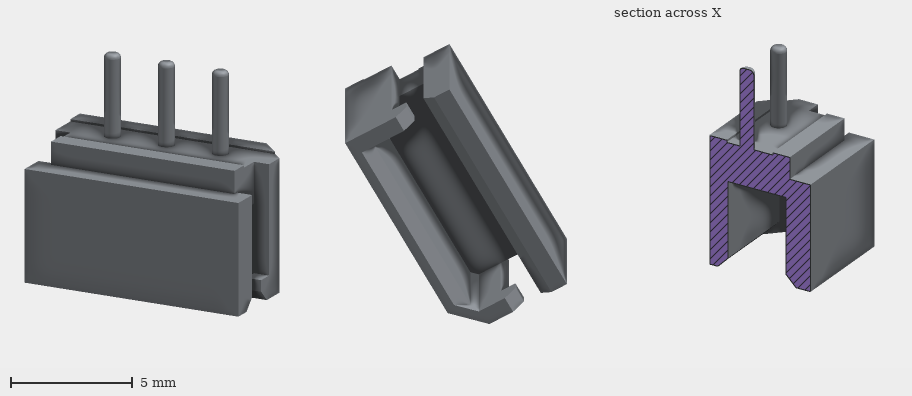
import cadquery as cq

LENGTH = 9.9
DEPTH = 4.9
HOUSING_HEIGHT = 5.9

FRONT_WALL_THICKNESS = 1.225
FRONT_WALL_HEIGHT = 4.9
STEP_DEPTH = 1.0

RAIL_WIDTH = 0.85
GROOVE_DEPTH = 0.1

CAVITY_HEIGHT = 4.0
END_WALL_THICKNESS = 0.7
REAR_WALL_THICKNESS = 0.9
MOUTH_BEVEL = 0.5

SLOT_REAR_Y = 2.725
LIP_LENGTH = 0.7
LIP_HEIGHT = 1.0

CORNER_BEVEL = 1.26
CAVITY_CORNER_BEVEL = 0.25

PIN_COUNT = 3
PIN_PITCH = 2.5
PIN_DIAMETER = 0.7
PIN_TOP_Z = 9.4
PIN_Y = 3.1
PIN_TIP_RADIUS = 0.2


def make_block():
    """Plain housing block with its rear +X corner bevelled."""
    block = cq.Workplane("XY").box(LENGTH, DEPTH, HOUSING_HEIGHT, centered=False)
    return block.edges("|Z and >X and >Y").chamfer(CORNER_BEVEL)


def make_step():
    """Space above the front wall, along the full length."""
    step_height = HOUSING_HEIGHT - FRONT_WALL_HEIGHT
    step = cq.Workplane("XY").box(LENGTH, STEP_DEPTH, step_height, centered=False)
    return step.translate((0, 0, FRONT_WALL_HEIGHT))


def make_groove():
    """Shallow groove between the front and rear rails of the top face."""
    groove_start = STEP_DEPTH + RAIL_WIDTH
    groove_width = DEPTH - RAIL_WIDTH - groove_start
    groove = cq.Workplane("XY").box(LENGTH, groove_width, GROOVE_DEPTH, centered=False)
    return groove.translate((0, groove_start, HOUSING_HEIGHT - GROOVE_DEPTH))


def make_cavity():
    """Cavity between the end walls, widening at the mouth in front and behind."""
    front = FRONT_WALL_THICKNESS
    rear = DEPTH - REAR_WALL_THICKNESS
    outline = [
        (front - MOUTH_BEVEL, 0),
        (rear + MOUTH_BEVEL, 0),
        (rear, MOUTH_BEVEL),
        (rear, CAVITY_HEIGHT),
        (front, CAVITY_HEIGHT),
        (front, MOUTH_BEVEL),
    ]
    inner_length = LENGTH - 2 * END_WALL_THICKNESS
    cavity = cq.Workplane("YZ").polyline(outline).close().extrude(inner_length)
    cavity = cavity.translate((END_WALL_THICKNESS, 0, 0))

    corner_x = LENGTH - END_WALL_THICKNESS
    corner_y = rear + MOUTH_BEVEL
    bevel = MOUTH_BEVEL + CAVITY_CORNER_BEVEL
    corner = (
        cq.Workplane("XY")
        .moveTo(corner_x, corner_y)
        .lineTo(corner_x - bevel, corner_y)
        .lineTo(corner_x, corner_y - bevel)
        .close()
        .extrude(CAVITY_HEIGHT)
    )
    return cavity.cut(corner)


def make_end_slot(start_x):
    """Slot as thick as one end wall, narrowed near the bottom by the lip."""
    front = FRONT_WALL_THICKNESS
    lip_tip = SLOT_REAR_Y - LIP_LENGTH
    outline = [
        (front - MOUTH_BEVEL, 0),
        (front, MOUTH_BEVEL),
        (front, FRONT_WALL_HEIGHT),
        (STEP_DEPTH, FRONT_WALL_HEIGHT),
        (STEP_DEPTH, HOUSING_HEIGHT),
        (SLOT_REAR_Y, HOUSING_HEIGHT),
        (SLOT_REAR_Y, LIP_HEIGHT),
        (lip_tip, LIP_HEIGHT),
        (lip_tip, MOUTH_BEVEL),
        (lip_tip + MOUTH_BEVEL, 0),
    ]
    slot = cq.Workplane("YZ").polyline(outline).close().extrude(END_WALL_THICKNESS)
    return slot.translate((start_x, 0, 0))


def make_pin(x):
    """Round-tipped pin, rooted in the solid roof above the cavity."""
    pin = cq.Workplane("XY").circle(PIN_DIAMETER / 2).extrude(PIN_TOP_Z - CAVITY_HEIGHT)
    pin = pin.faces(">Z").edges().fillet(PIN_TIP_RADIUS)
    return pin.translate((x, PIN_Y, CAVITY_HEIGHT))


result = make_block().cut(make_step()).cut(make_groove()).cut(make_cavity())

for slot_x in (0, LENGTH - END_WALL_THICKNESS):
    result = result.cut(make_end_slot(slot_x))

first_pin_x = (LENGTH - (PIN_COUNT - 1) * PIN_PITCH) / 2
for pin_index in range(PIN_COUNT):
    result = result.union(make_pin(first_pin_x + pin_index * PIN_PITCH))